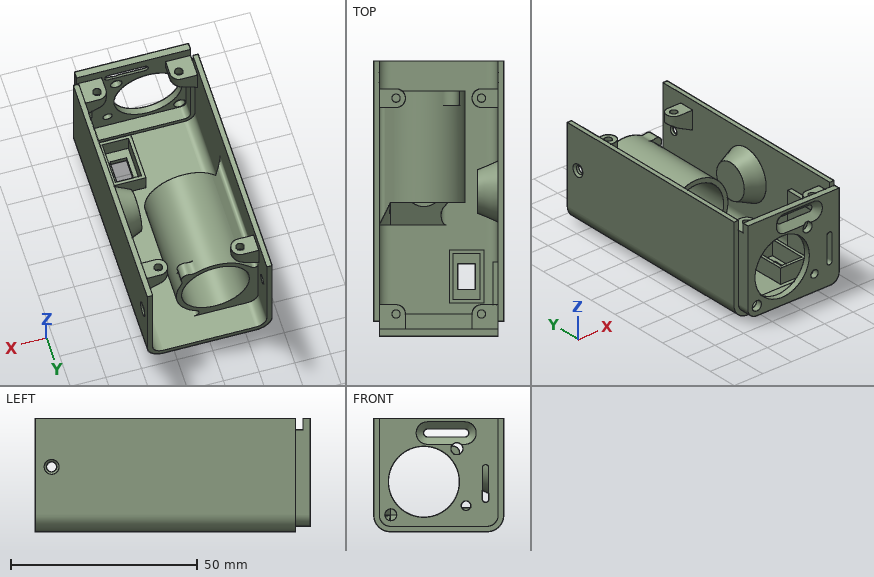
import cadquery as cq
import math

length = 74.0
shell_width = 35.0
height = 30.5
inner_width = 32.0
inner_corner_radius = 3.0
wall = (shell_width - inner_width) / 2
floor_thickness = 1.5
outer_corner_radius = inner_corner_radius + wall
inner_side = inner_width / 2
corner_axis_x = inner_side - inner_corner_radius
corner_axis_z = floor_thickness + inner_corner_radius

shell_front = 4.0
plate_thickness = 2.0
lip_end = 6.0
lip_thickness = 1.25

bore_diameter = 19.0
axis_x = -4.0
axis_z = 13.5
tube_diameter = 22.0
tube_front = 36.0
tube_length = 30.0
tube_back = tube_front + tube_length
tube_radius = tube_diameter / 2

floor_fillet = 1.25
wall_fillet = 0.95
ramp_length = 6.0
ramp_start = tube_front - ramp_length

bump_radius = 1.85
bump_fillet = 2.4
bump_length = 3.85

boss_x = 11.5
boss_radius = 2.5
boss_root_height = 6.2
boss_tip_height = 2.75
boss_drop = 3.0
boss_top = height - boss_drop
boss_bottom = boss_top - boss_root_height
boss_hole_diameter = 2.2
boss_hole_depth = 2.95
front_boss_y = 6.0
back_boss_y = 64.0

pin_offset = 8.9
pin_hole_diameter = 3.2
cable_hole_diameter = 2.5
cable_hole_x, cable_hole_z = 7.3, 7.0
side_slot_x, side_slot_z = 12.6, 13.0
side_slot_width, side_slot_length = 1.7, 10.15
window_x, window_z = 2.0, 26.6
window_span = 10.1
window_inner_radius = 1.0

cone_y = 38.9
side_axis_z = 17.5
cone_base_diameter = 16.5
cone_tip_diameter = 11.6
cone_height = 5.6
strip_thickness = 1.4
strip_end = 20.0
strip_top = 21.45
wall_hole_y = 69.55
wall_hole_diameter = 2.7
countersink_diameter = 4.0

box_x, box_y = 7.5, 16.05
box_width, box_length = 9.25, 14.3
box_wall = 0.95
box_top = 6.5
opening_width, opening_length = 4.65, 6.9


def section_at(y):
    """Workplane whose x and y are the part's X and Z; it extrudes toward the front, -Y."""
    return cq.Workplane("XZ", origin=(0, y, 0))


def box(x0, x1, y0, y1, z0, z1):
    return cq.Workplane("XY").box(x1 - x0, y1 - y0, z1 - z0, centered=False).translate((x0, y0, z0))


def rounded_bar(width, bottom, corner_radius, y0, y1):
    """Bar along Y, flush with the top of the case, with both lower edges rounded."""
    bar = box(-width / 2, width / 2, y0, y1, bottom, height)
    return bar.edges("|Y and <Z").fillet(corner_radius)


def cylinder_y(x, z, diameter, y0, y1):
    return section_at(y1).center(x, z).circle(diameter / 2).extrude(y1 - y0)


def make_case():
    """Open case with its front plate and the lip behind the plate; also returns the inner space."""
    shell = rounded_bar(shell_width, 0, outer_corner_radius, shell_front, length)
    cavity = rounded_bar(inner_width, floor_thickness, inner_corner_radius, 0, length)
    plate = cavity.intersect(box(-inner_side, inner_side, 0, plate_thickness, 0, height))
    lip = cavity.intersect(box(-inner_side, inner_side, 0, lip_end, 0, boss_top))
    lip_opening = rounded_bar(
        inner_width - 2 * lip_thickness,
        floor_thickness + lip_thickness,
        inner_corner_radius - lip_thickness,
        0,
        length,
    )
    return shell.cut(cavity).union(lip.cut(lip_opening)).union(plate), cavity


def make_tube(cavity):
    """Tube with its bump, its web to the floor and wall, and the ramp that leads up to the web."""
    diagonal = math.sqrt(0.5)

    floor_center_z = floor_thickness + floor_fillet
    floor_reach = math.sqrt((tube_radius + floor_fillet) ** 2 - (axis_z - floor_center_z) ** 2)
    floor_center = (axis_x + floor_reach, floor_center_z)

    wall_center_x = wall_fillet - inner_side
    wall_center_z = axis_z + wall_center_x - axis_x + (tube_radius + wall_fillet) / diagonal
    wall_center = (wall_center_x, wall_center_z)

    web_outline = [
        (axis_x, axis_z),
        (axis_x - tube_radius * diagonal, axis_z + tube_radius * diagonal),
        (wall_center_x + wall_fillet * diagonal, wall_center_z - wall_fillet * diagonal),
        wall_center,
        (-inner_side, wall_center_z),
        (-inner_side, floor_thickness),
        (floor_center[0], floor_thickness),
        floor_center,
    ]
    web = section_at(tube_back).polyline(web_outline).close().extrude(tube_back - ramp_start)
    web = web.union(cylinder_y(axis_x, axis_z, tube_diameter, ramp_start, tube_back))
    web = web.cut(cylinder_y(*floor_center, 2 * floor_fillet, ramp_start, tube_back))
    web = web.cut(cylinder_y(*wall_center, 2 * wall_fillet, ramp_start, tube_back))
    web = web.intersect(cavity).cut(make_ramp_space())
    return web.union(make_bump()).cut(cylinder_y(axis_x, axis_z, bore_diameter, 0, length))


def make_ramp_space():
    """Space above the ramp: it slopes in from the floor, the wall and the rounded corner between them."""
    over_floor = (
        cq.Workplane("YZ", origin=(-corner_axis_x, 0, 0))
        .polyline([
            (ramp_start, floor_thickness),
            (tube_front, corner_axis_z),
            (tube_front, height),
            (ramp_start, height),
        ])
        .close()
        .extrude(shell_width)
    )
    beside_wall = (
        cq.Workplane("XY", origin=(0, 0, corner_axis_z))
        .polyline([
            (-inner_side, ramp_start),
            (-corner_axis_x, tube_front),
            (inner_side, tube_front),
            (inner_side, ramp_start),
        ])
        .close()
        .extrude(height)
    )
    corner = cq.Solid.makeCone(
        inner_corner_radius,
        0,
        ramp_length,
        pnt=cq.Vector(-corner_axis_x, ramp_start, corner_axis_z),
        dir=cq.Vector(0, 1, 0),
    )
    return over_floor.union(beside_wall).union(cq.Workplane(obj=corner))


def make_bump():
    """Round bump on the upper right of the tube, blended into it by a fillet on each side."""
    start = tube_back - bump_length
    bump_angle = math.radians(45)
    to_fillet = tube_radius + bump_fillet
    bump_to_fillet = bump_radius + bump_fillet
    half_spread = math.acos(
        (to_fillet**2 + tube_radius**2 - bump_to_fillet**2) / (2 * to_fillet * tube_radius)
    )

    def at(distance, angle):
        return (axis_x + distance * math.cos(angle), axis_z + distance * math.sin(angle))

    bump_center = at(tube_radius, bump_angle)
    fillet_centers = [at(to_fillet, bump_angle + side * half_spread) for side in (-1, 1)]
    blend = (
        section_at(tube_back)
        .polyline([(axis_x, axis_z), fillet_centers[0], bump_center, fillet_centers[1]])
        .close()
        .extrude(bump_length)
    )
    for center in fillet_centers:
        blend = blend.cut(cylinder_y(*center, 2 * bump_fillet, start, tube_back))
    return blend.union(cylinder_y(*bump_center, 2 * bump_radius, start, tube_back))


def make_bosses():
    """Lid bosses that reach in from the side walls, with undersides that slope up toward their tips."""
    boss_tip = boss_x - boss_radius
    side_profile = [
        (inner_side, boss_top),
        (inner_side, boss_bottom),
        (boss_tip, boss_top - boss_tip_height),
        (boss_tip, boss_top),
    ]
    sloped = section_at(length).polyline(side_profile).close().extrude(length)

    def arm(x0, y0, y1):
        return box(x0, inner_side, y0, y1, boss_bottom, boss_top)

    outlines = (
        cq.Workplane("XY", origin=(0, 0, boss_bottom))
        .pushPoints([(boss_x, front_boss_y), (boss_x, back_boss_y)])
        .circle(boss_radius)
        .extrude(boss_root_height)
    )
    outlines = outlines.union(arm(boss_x, back_boss_y - boss_radius, back_boss_y + boss_radius))
    outlines = outlines.union(arm(boss_x, front_boss_y, front_boss_y + boss_radius))
    outlines = outlines.union(arm(boss_tip, 0, front_boss_y))
    right_bosses = outlines.intersect(sloped)
    return right_bosses.union(right_bosses.mirror("YZ"))


def make_boss_holes():
    places = [(side * boss_x, y) for side in (-1, 1) for y in (front_boss_y, back_boss_y)]
    return (
        cq.Workplane("XY", origin=(0, 0, boss_top - boss_hole_depth))
        .pushPoints(places)
        .circle(boss_hole_diameter / 2)
        .extrude(boss_hole_depth)
    )


def make_wall_cone():
    cone = cq.Solid.makeCone(
        cone_base_diameter / 2,
        cone_tip_diameter / 2,
        cone_height,
        pnt=cq.Vector(inner_side, cone_y, side_axis_z),
        dir=cq.Vector(-1, 0, 0),
    )
    return cq.Workplane(obj=cone)


def make_guide_strip(cavity):
    strip = box(inner_side - strip_thickness, inner_side, 0, strip_end, 0, strip_top)
    return strip.intersect(cavity)


def make_plate_openings():
    """Everything that is cut through the front plate along Y."""
    cuts = cylinder_y(axis_x, axis_z, bore_diameter, 0, lip_end)
    for offset in (-pin_offset, pin_offset):
        cuts = cuts.union(cylinder_y(axis_x + offset, axis_z + offset, pin_hole_diameter, 0, lip_end))
    cuts = cuts.union(cylinder_y(cable_hole_x, cable_hole_z, cable_hole_diameter, 0, lip_end))
    side_slot = (
        section_at(lip_end)
        .center(side_slot_x, side_slot_z)
        .slot2D(side_slot_length, side_slot_width, 90)
        .extrude(lip_end)
    )
    window = (
        section_at(plate_thickness)
        .center(window_x, window_z)
        .slot2D(window_span + 2 * window_inner_radius, 2 * window_inner_radius)
        .extrude(plate_thickness, taper=-45)
    )
    return cuts.union(side_slot).union(window)


def make_wall_screw_holes():
    """One hole across both side walls, countersunk on each outer face."""
    half_width = shell_width / 2
    sink_depth = (countersink_diameter - wall_hole_diameter) / 2
    holes = (
        cq.Workplane("YZ", origin=(-half_width, wall_hole_y, side_axis_z))
        .circle(wall_hole_diameter / 2)
        .extrude(shell_width)
    )
    for side in (-1, 1):
        sink = cq.Solid.makeCone(
            countersink_diameter / 2,
            wall_hole_diameter / 2,
            sink_depth,
            pnt=cq.Vector(side * half_width, wall_hole_y, side_axis_z),
            dir=cq.Vector(-side, 0, 0),
        )
        holes = holes.union(cq.Workplane(obj=sink))
    return holes


def make_switch_box():
    """Frame that stands on the floor, and the opening in the floor inside it."""
    frame = (
        cq.Workplane("XY", origin=(box_x, box_y, floor_thickness))
        .rect(box_width, box_length)
        .rect(box_width - 2 * box_wall, box_length - 2 * box_wall)
        .extrude(box_top - floor_thickness)
    )
    opening = (
        cq.Workplane("XY", origin=(box_x, box_y, 0))
        .rect(opening_width, opening_length)
        .extrude(floor_thickness)
    )
    return frame, opening


case, cavity = make_case()
switch_frame, switch_opening = make_switch_box()

result = (
    case.union(make_bosses())
    .union(make_tube(cavity))
    .union(make_wall_cone())
    .union(make_guide_strip(cavity))
    .union(switch_frame)
    .cut(switch_opening)
    .cut(make_boss_holes())
    .cut(make_plate_openings())
    .cut(make_wall_screw_holes())
)